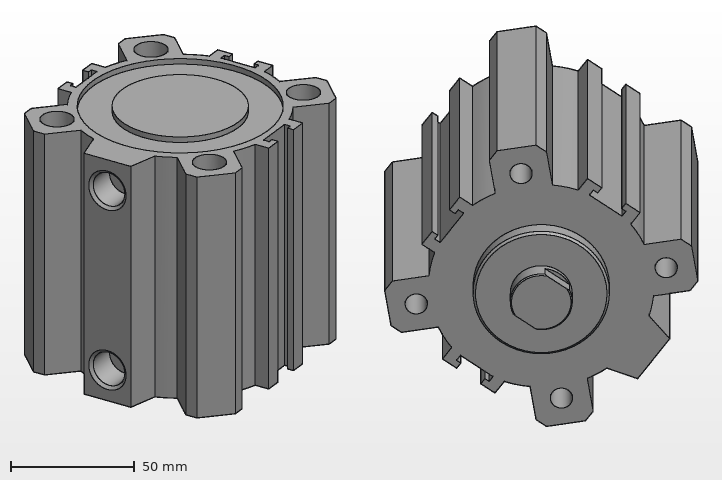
import cadquery as cq
import math

body_width = 100.0
total_depth = 106.0
total_height = 124.5
body_height = 109.3
boss_height = 7.1
rod_reach = total_height - body_height - boss_height
body_half_width = body_width / 2

barrel_diameter = 91.0
recess_diameter = 83.2
recess_depth = 2.5
disc_diameter = 55.0

lug_half_width = 11.7
lug_flat_half = 2.6
bolt_offset = 36.1
bolt_diameter = 9.0
counterbore_diameter = 13.8
counterbore_depth = 8.3

rail_half_width = 13.1
rail_mouth_half = 6.0
rail_groove_half = 8.1
rail_lip = 2.9
rail_groove_floor = 44.5

port_face_y = body_half_width - total_depth
port_block_half_width = 11.1
port_block_flank_angle = 15
port_end_offset = 14.0
port_diameter = 15.0
port_mouth_diameter = 17.7
port_chamfer_depth = 1.2
port_depth = 13.7

boss_diameter = disc_diameter
boss_chamfer = 1.0
rod_diameter = 25.0
rod_chamfer = 0.5
rod_flat_half = 11.0
rod_flat_gap = 2.5

boss_bottom = -boss_height
rod_bottom = boss_bottom - rod_reach


def make_lug():
    """Bevelled-end bar along the +X+Y diagonal, from the centre outwards."""
    half_diagonal_width = lug_half_width * math.sqrt(2)
    flat_start = body_half_width - half_diagonal_width
    flat_end = bolt_offset + lug_flat_half
    outline = [
        (0, 0),
        (0, half_diagonal_width),
        (flat_start, body_half_width),
        (flat_end, body_half_width),
        (body_half_width, flat_end),
        (body_half_width, flat_start),
        (half_diagonal_width, 0),
    ]
    return cq.Workplane("XY").polyline(outline).close().extrude(body_height)


def make_rail():
    """Solid bar on the +X side that carries a sensor groove."""
    return (
        cq.Workplane("XY")
        .rect(body_half_width, 2 * rail_half_width)
        .extrude(body_height)
        .translate((body_half_width / 2, 0, 0))
    )


def make_rail_groove():
    """T-shaped groove cut into the +X rail over its full height."""
    groove_depth = body_half_width - rail_groove_floor
    undercut_depth = groove_depth - rail_lip
    centering = (False, True, False)
    mouth = cq.Workplane("XY").box(groove_depth, 2 * rail_mouth_half, body_height, centered=centering)
    undercut = cq.Workplane("XY").box(undercut_depth, 2 * rail_groove_half, body_height, centered=centering)
    return mouth.union(undercut).translate((rail_groove_floor, 0, 0))


def make_port_block():
    """Block on the -Y side that narrows towards the port face."""
    root_half_width = port_block_half_width - port_face_y * math.tan(math.radians(port_block_flank_angle))
    outline = [
        (-root_half_width, 0),
        (-port_block_half_width, port_face_y),
        (port_block_half_width, port_face_y),
        (root_half_width, 0),
    ]
    return cq.Workplane("XY").polyline(outline).close().extrude(body_height)


def make_port(z):
    """Blind port with a countersunk mouth, entering along +Y."""
    mouth_radius = port_mouth_diameter / 2
    bore_radius = port_diameter / 2
    half_section = [
        (0, port_face_y),
        (mouth_radius, port_face_y),
        (bore_radius, port_face_y + port_chamfer_depth),
        (bore_radius, port_face_y + port_depth),
        (0, port_face_y + port_depth),
    ]
    port = cq.Workplane("XY").polyline(half_section).close().revolve(360, (0, 0, 0), (0, 1, 0))
    return port.translate((0, 0, z))


def make_rod():
    """Round rod with two wrench flats, seated in the boss up to the barrel's bottom face."""
    rod = (
        cq.Workplane("XY")
        .workplane(offset=rod_bottom)
        .circle(rod_diameter / 2)
        .extrude(-rod_bottom)
        .faces("<Z")
        .chamfer(rod_chamfer)
    )
    flat_length = rod_reach - rod_flat_gap
    for side in (-1, 1):
        waste = (
            cq.Workplane("XY")
            .box(rod_diameter, rod_diameter, flat_length, centered=(True, True, False))
            .translate((side * (rod_flat_half + rod_diameter / 2), 0, rod_bottom))
        )
        rod = rod.cut(waste)
    return rod


def make_housing():
    """Barrel with lugs, rails, port block and guide boss, and all of their holes."""
    housing = cq.Workplane("XY").circle(barrel_diameter / 2).extrude(body_height)
    housing = housing.union(make_port_block())
    for quarter in range(4):
        housing = housing.union(make_lug().rotate((0, 0, 0), (0, 0, 1), 90 * quarter))
    for quarter in range(3):
        turn = ((0, 0, 0), (0, 0, 1), 90 * quarter)
        housing = housing.union(make_rail().rotate(*turn)).cut(make_rail_groove().rotate(*turn))

    recess = (
        cq.Workplane("XY")
        .workplane(offset=body_height - recess_depth)
        .circle(recess_diameter / 2)
        .circle(disc_diameter / 2)
        .extrude(recess_depth)
    )
    housing = housing.cut(recess)

    boss = cq.Workplane("XY").circle(boss_diameter / 2).extrude(boss_bottom).faces("<Z").chamfer(boss_chamfer)
    housing = housing.union(boss)

    housing = (
        housing.faces(">Z")
        .workplane(origin=(0, 0, body_height))
        .rect(2 * bolt_offset, 2 * bolt_offset, forConstruction=True)
        .vertices()
        .cboreHole(bolt_diameter, counterbore_diameter, counterbore_depth)
    )

    for port_z in (port_end_offset, body_height - port_end_offset):
        housing = housing.cut(make_port(port_z))

    rod_seat = cq.Workplane("XY").circle(rod_diameter / 2).extrude(boss_bottom)
    return housing.cut(rod_seat)


housing = make_housing()
rod = make_rod()
result = cq.Compound.makeCompound([housing.val(), rod.val()])